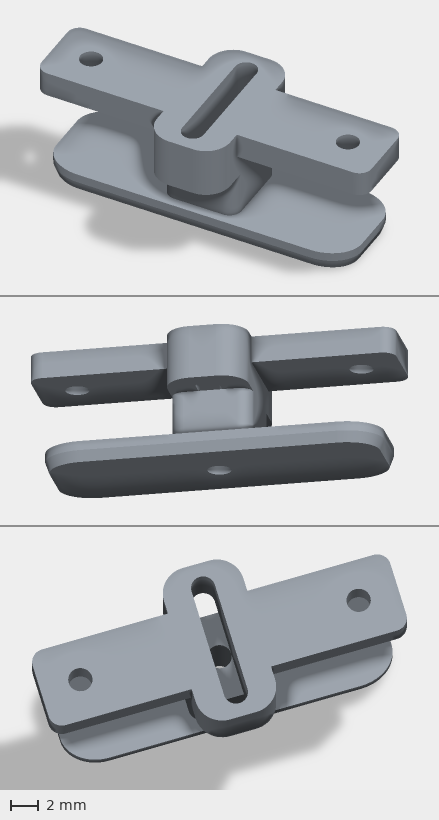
import cadquery as cq

total_length = 27.0
total_width = 12.0
total_height = 9.0

arm_thickness = 2.0
hub_height = 2 * arm_thickness
arm_width = 6.0
arm_corner_radius = 1.0
hub_length = arm_width
hub_corner_radius = 2.0
hole_diameter = 1.75
slot_length = 10.0
arm_hole_spacing = 21.0

plate_length = 25.0
plate_width = 8.0
plate_thickness = 1.5
plate_corner_length = 3.0
plate_corner_width = 2.4
bevel_height = 0.8
bevel_inset = 0.3

post_length = hub_length
post_width = 6.48
post_corner_radius = 1.0

arm_bottom = total_height - arm_thickness
hub_bottom = total_height - hub_height


def rounded_block(length, width, radius, bottom, height):
    """Upright block centred on the Z axis with rounded vertical edges."""
    block = cq.Workplane("XY", origin=(0, 0, bottom)).rect(length, width).extrude(height)
    return block.edges("|Z").fillet(radius)


def make_crossbar():
    """Two drilled arms on a deeper centre hub with a slot right through it."""
    arms = rounded_block(total_length, arm_width, arm_corner_radius, arm_bottom, arm_thickness)
    hub = rounded_block(hub_length, total_width, hub_corner_radius, hub_bottom, hub_height)
    slot = (
        cq.Workplane("XY", origin=(0, 0, hub_bottom))
        .slot2D(slot_length, hole_diameter, 90)
        .extrude(hub_height)
    )
    arm_holes = (
        cq.Workplane("XY", origin=(0, 0, arm_bottom))
        .rarray(arm_hole_spacing, 0.27, 2, 1)
        .circle(hole_diameter / 2)
        .extrude(arm_thickness)
    )
    return arms.union(hub).cut(slot).cut(arm_holes)


def make_plate():
    """Plate with elliptical corners and a bevel around its underside."""
    end_x = plate_length / 2
    side_y = plate_width / 2
    corner_x = end_x - plate_corner_length
    corner_y = side_y - plate_corner_width
    plate = cq.Workplane("XY").rect(plate_length, plate_width).extrude(plate_thickness)
    for sign_x in (-1, 1):
        for sign_y in (-1, 1):
            centre = (sign_x * corner_x, sign_y * corner_y)
            corner_block = (
                cq.Workplane("XY")
                .moveTo(*centre)
                .rect(sign_x * plate_corner_length, sign_y * plate_corner_width, centered=False)
                .extrude(plate_thickness)
            )
            corner_round = (
                cq.Workplane("XY")
                .center(*centre)
                .ellipse(plate_corner_length, plate_corner_width)
                .extrude(plate_thickness)
            )
            plate = plate.cut(corner_block.cut(corner_round))
    return plate.faces("<Z").chamfer(bevel_inset, bevel_height)


def make_base():
    """Plate and post in one piece, with a hole down the centre."""
    post_height = hub_bottom - plate_thickness
    post = rounded_block(post_length, post_width, post_corner_radius, plate_thickness, post_height)
    centre_hole = cq.Workplane("XY").circle(hole_diameter / 2).extrude(hub_bottom)
    return make_plate().union(post).cut(centre_hole)


crossbar = make_crossbar()
base = make_base()

result = cq.Compound.makeCompound([crossbar.val(), base.val()])